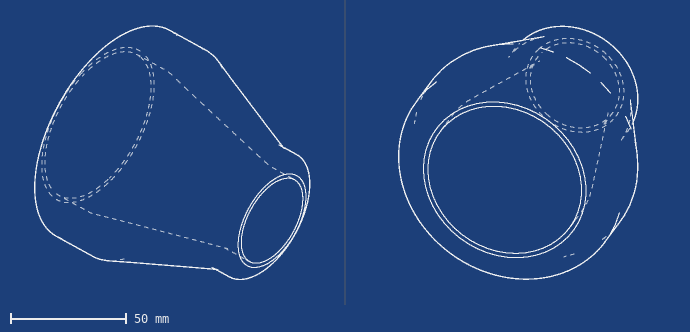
import cadquery as cq
import math

length = 100.0
large_diameter = 101.6
small_diameter = 60.4
large_bore_diameter = 69.6
small_bore_diameter = 40.3

large_neck_length = 30.1
large_bore_depth = 17.0
small_neck_length = 15.0

land_width = 2.0
bevel_angle = 30.0

edge_radius = 1.0

large_radius = large_diameter / 2
small_radius = small_diameter / 2
large_bore_radius = large_bore_diameter / 2
small_bore_radius = small_bore_diameter / 2
large_land_radius = large_bore_radius + land_width
small_land_radius = small_bore_radius + land_width
small_cone_end = length - small_neck_length


def bevel_length(outer_radius, land_radius):
    """Axial length of a bevel between the land and the outside."""
    return (outer_radius - land_radius) * math.tan(math.radians(bevel_angle))


large_bevel_end = bevel_length(large_radius, large_land_radius)
small_bevel_start = length - bevel_length(small_radius, small_land_radius)

wall_section = (
    cq.Workplane("XY")
    .moveTo(0, large_bore_radius)
    .lineTo(0, large_land_radius)
    .lineTo(large_bevel_end, large_radius)
    .lineTo(large_neck_length, large_radius)
    .lineTo(small_cone_end, small_radius)
    .lineTo(small_bevel_start, small_radius)
    .lineTo(length, small_land_radius)
    .lineTo(length, small_bore_radius)
    .lineTo(small_cone_end, small_bore_radius)
    .lineTo(large_bore_depth, large_bore_radius)
    .close()
)

reducer = wall_section.revolve(360, (0, 0, 0), (1, 0, 0))

outside_corners = (
    (large_bevel_end, large_radius),
    (large_neck_length, large_radius),
    (small_cone_end, small_radius),
    (small_bevel_start, small_radius),
)


def lies_on_corner(edge, corner):
    """True for the circle that has the given position along X and radius."""
    tolerance = 0.001
    x, radius = corner
    return (
        edge.geomType() == "CIRCLE"
        and abs(edge.Center().x - x) < tolerance
        and abs(edge.radius() - radius) < tolerance
    )


outside_edges = reducer.edges().filter(
    lambda edge: any(lies_on_corner(edge, corner) for corner in outside_corners)
)
result = outside_edges.fillet(edge_radius)